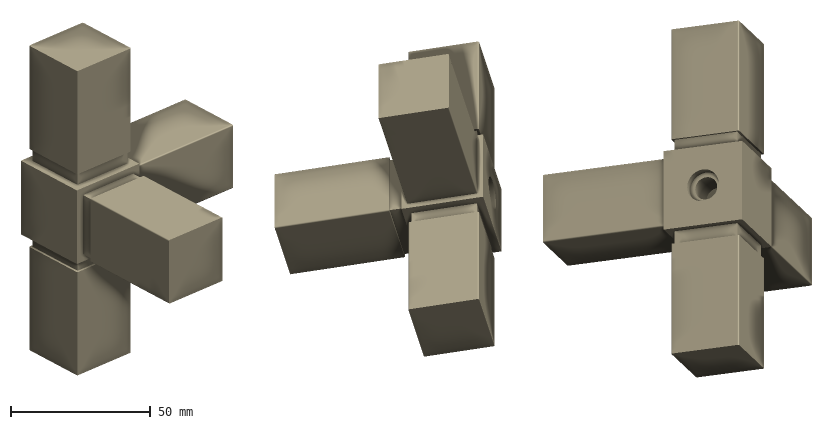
import cadquery as cq

overall_height = 124.0
overall_reach = 77.0
hub_size = 2 * overall_reach - overall_height
hub_half = hub_size / 2
arm_length = overall_reach - hub_size
neck_length = 5.0
neck_width = 24.0
plug_width = 25.9
plug_edge_radius = 0.5
counterbore_diameter = 12.0
counterbore_depth = 3.3
hole_diameter = 8.4
hole_depth = hub_half


def make_arm(hub_face, arm_neck_length):
    """Round-edged square plug standing off one hub face, on a narrower neck if it has one."""
    plug = (
        cq.Workplane(hub_face)
        .workplane(offset=hub_half + arm_neck_length)
        .rect(plug_width, plug_width)
        .extrude(arm_length - arm_neck_length)
        .edges(cq.selectors.ParallelDirSelector(hub_face.zDir))
        .fillet(plug_edge_radius)
    )
    if arm_neck_length == 0:
        return plug
    neck = (
        cq.Workplane(hub_face)
        .workplane(offset=hub_half)
        .rect(neck_width, neck_width)
        .extrude(arm_neck_length)
    )
    return plug.union(neck)


def drill_screw_hole(body):
    """Blind counterbored hole in the -X hub face."""
    outer_face = cq.Workplane("YZ", origin=(-hub_half, 0, 0))
    counterbore = outer_face.circle(counterbore_diameter / 2).extrude(counterbore_depth)
    hole = outer_face.circle(hole_diameter / 2).extrude(hole_depth)
    return body.cut(counterbore).cut(hole)


connector = cq.Workplane("XY").box(hub_size, hub_size, hub_size)

for necked_face in ("XY", "YX", "YZ"):
    connector = connector.union(make_arm(cq.Plane.named(necked_face), neck_length))
connector = connector.union(make_arm(cq.Plane.named("ZX"), 0))

result = drill_screw_hole(connector)